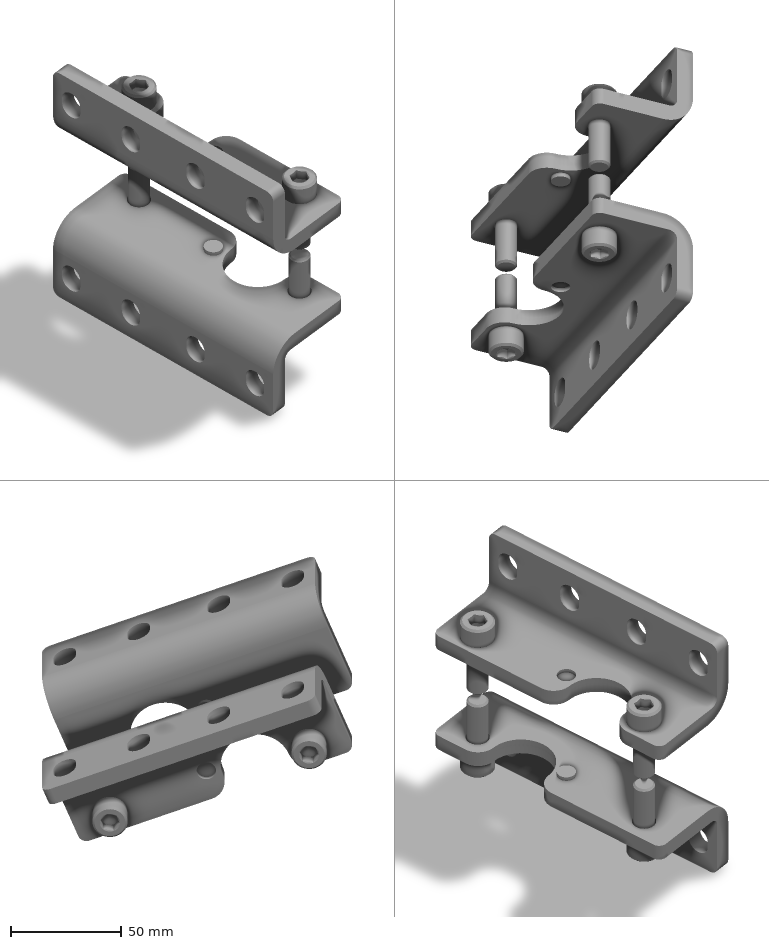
import cadquery as cq
import math

width = 133.0
depth = 49.0
bracket_height = 41.5
bracket_gap = 50.0
thickness = 8.0
inner_bend_radius = 4.0
outer_bend_radius = 15.0
corner_radius = 4.0

back_y = depth
plate_bottom = bracket_gap / 2
plate_top = plate_bottom + thickness
flange_top = plate_bottom + bracket_height

slot_width = 11.0
slot_length = 14.0
slot_drop = 15.0
slot_outer_offset = 55.5
slot_inner_offset = 19.5

notch_x = -22.0
notch_radius = 16.0
notch_lip_radius = 9.0

boss_diameter = 8.8
boss_height = 2.0
boss_from_edge = 14.5

screw_offset = 48.5
screw_from_edge = 10.5
screw_hole_diameter = 11.0
shank_diameter = 10.0
shank_length = 30.0
shank_chamfer = 0.9
head_diameter = 16.0
head_height = 10.0
head_chamfer = 1.0
seat_chamfer = 0.3
socket_across_flats = 8.0
socket_across_corners = socket_across_flats / math.cos(math.pi / 6)
socket_depth = 5.0
cone_slope = math.tan(math.radians(30))
socket_tip_depth = socket_across_flats / 2 * cone_slope

screw_points = [(side * screw_offset, back_y - screw_from_edge) for side in (-1, 1)]
boss_point = (0, back_y - boss_from_edge)


def angle_blank():
    """Bent L-shaped plate with rounded bend and rounded free corners."""
    blank = (
        cq.Workplane("YZ")
        .moveTo(outer_bend_radius, plate_bottom)
        .lineTo(back_y, plate_bottom)
        .lineTo(back_y, plate_top)
        .lineTo(thickness + inner_bend_radius, plate_top)
        .radiusArc((thickness, plate_top + inner_bend_radius), inner_bend_radius)
        .lineTo(thickness, flange_top)
        .lineTo(0, flange_top)
        .lineTo(0, plate_bottom + outer_bend_radius)
        .radiusArc((outer_bend_radius, plate_bottom), -outer_bend_radius)
        .close()
        .extrude(width / 2, both=True)
    )
    blank = blank.faces(">Y").edges("|Z").fillet(corner_radius)
    return blank.faces(">Z").edges("|Y").fillet(corner_radius)


def mounting_slots():
    """Four upright slots through the vertical flange."""
    slot_z = flange_top - slot_drop
    centres = [
        (side * offset, slot_z)
        for side in (-1, 1)
        for offset in (slot_inner_offset, slot_outer_offset)
    ]
    return (
        cq.Workplane("XZ")
        .pushPoints(centres)
        .slot2D(slot_length, slot_width, 90)
        .extrude(-thickness)
    )


def edge_notch():
    """Half-round notch whose sides flare into the free edge as quarter-round lips."""
    centre_y = back_y - notch_lip_radius
    mouth_half_width = notch_radius + notch_lip_radius
    return (
        cq.Workplane("XY", origin=(notch_x, 0, plate_bottom))
        .moveTo(-mouth_half_width, back_y)
        .radiusArc((-notch_radius, centre_y), notch_lip_radius)
        .threePointArc((0, centre_y - notch_radius), (notch_radius, centre_y))
        .radiusArc((mouth_half_width, back_y), notch_lip_radius)
        .close()
        .extrude(thickness)
    )


def boss_disc(base_z):
    """Disc of the locating boss's size standing on the given height."""
    return (
        cq.Workplane("XY", origin=(*boss_point, base_z))
        .circle(boss_diameter / 2)
        .extrude(boss_height)
    )


def upper_bracket():
    screw_holes = (
        cq.Workplane("XY", origin=(0, 0, plate_bottom))
        .pushPoints(screw_points)
        .circle(screw_hole_diameter / 2)
        .extrude(thickness)
    )
    return (
        angle_blank()
        .cut(mounting_slots())
        .cut(edge_notch())
        .cut(screw_holes)
        .cut(boss_disc(plate_top - boss_height))
        .union(boss_disc(plate_bottom - boss_height))
    )


def screw_socket():
    """Hexagonal socket with a countersunk mouth and a conical bottom."""
    head_top = plate_top + head_height
    hexagon = (
        cq.Workplane("XY", origin=(0, 0, head_top - socket_depth))
        .polygon(6, socket_across_corners)
        .extrude(socket_depth)
        .rotate((0, 0, 0), (0, 0, 1), 30)
    )
    bottom = cq.Solid.makeCone(
        socket_across_flats / 2,
        0,
        socket_tip_depth,
        pnt=cq.Vector(0, 0, head_top - socket_depth),
        dir=cq.Vector(0, 0, -1),
    )
    mouth_radius = socket_across_corners / 2
    mouth = cq.Solid.makeCone(
        mouth_radius,
        0,
        mouth_radius * cone_slope,
        pnt=cq.Vector(0, 0, head_top),
        dir=cq.Vector(0, 0, -1),
    )
    return hexagon.union(cq.Workplane(bottom)).union(cq.Workplane(mouth))


def cap_screw(point):
    """Socket-head screw seated on the upper bracket and pointing down."""
    shank = (
        cq.Workplane("XY", origin=(0, 0, plate_top - shank_length))
        .circle(shank_diameter / 2)
        .extrude(shank_length)
        .faces("<Z")
        .chamfer(shank_chamfer)
    )
    head = (
        cq.Workplane("XY", origin=(0, 0, plate_top))
        .circle(head_diameter / 2)
        .extrude(head_height)
        .faces(">Z")
        .chamfer(head_chamfer)
        .faces("<Z")
        .chamfer(seat_chamfer)
    )
    return shank.union(head).cut(screw_socket()).translate((*point, 0))


def turned_over(body):
    """Copy of an upper body turned half a turn about the Y axis."""
    return body.rotate((0, 0, 0), (0, 1, 0), 180)


top_bracket = upper_bracket()
bottom_bracket = turned_over(top_bracket)
top_screws = [cap_screw(point) for point in screw_points]
bottom_screws = [turned_over(screw) for screw in top_screws]

bodies = [top_bracket, bottom_bracket, *top_screws, *bottom_screws]
result = cq.Compound.makeCompound([body.solids().val() for body in bodies])